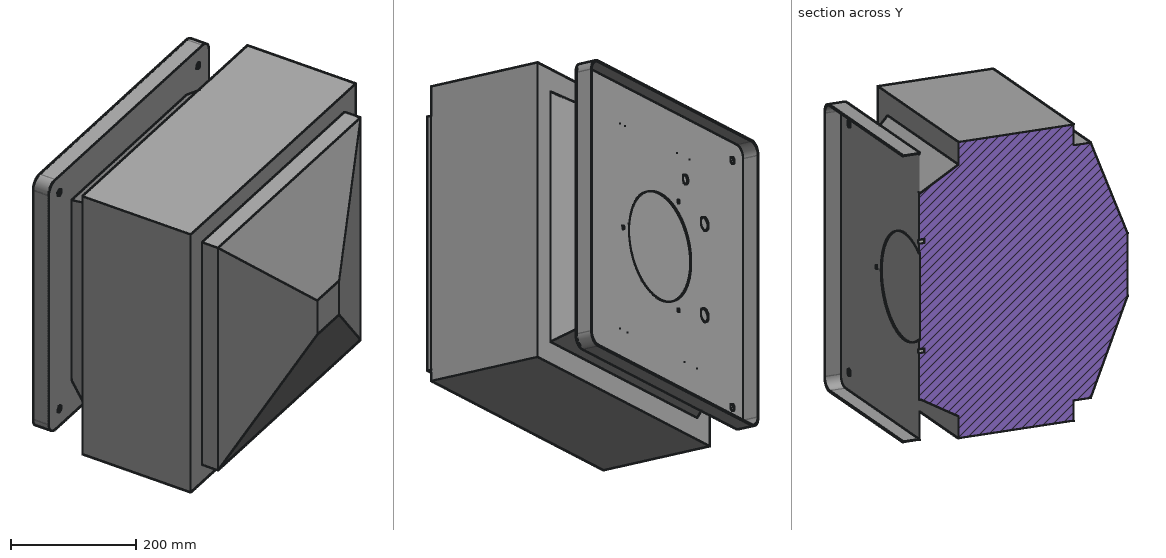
import cadquery as cq
import math

box_width = 500.0
box_height = 501.0
box_rise = 0.5
box_start = 97.5
box_length = 204.0

tray_size = 485.0
tray_depth = 30.0
tray_corner_radius = 20.0
sheet = 2.0

neck_small = 348.5
neck_large = 426.0

hood_size = 432.0
collar_length = 30.0
cap_length = 73.0
cap_end_size = 66.0

duct_diameter = 180.5
fixing_diameter = 6.0
fixing_depth = 10.0
fixing_circle_radius = 106.5
fixing_count = 3
cable_diameter = 22.5
cable_offset_y = 129.5
cable_offset_z = 77.5
sensor_diameter = 16.0
sensor_y = -73.5
sensor_z = 136.5
mount_diameter = 11.5
mount_offset = 210.0

floor_x = tray_depth - sheet
box_end = box_start + box_length
collar_end = box_end + collar_length


def plane_at(x):
    """Workplane across the part: local x is +Y, local y is +Z, normal is +X."""
    return cq.Workplane("YZ", origin=(x, 0, 0))


def taper(x, start_size, end_size, length):
    """Square frustum along +X."""
    return (
        plane_at(x)
        .rect(start_size, start_size)
        .workplane(offset=length)
        .rect(end_size, end_size)
        .loft(ruled=True)
    )


def make_tray():
    outer = plane_at(0).rect(tray_size, tray_size).extrude(tray_depth)
    outer = outer.edges("|X").fillet(tray_corner_radius)
    inner_size = tray_size - 2 * sheet
    inner = plane_at(0).rect(inner_size, inner_size).extrude(floor_x)
    inner = inner.edges("|X").fillet(tray_corner_radius - sheet)
    return outer.cut(inner)


def floor_holes(points, diameter, depth=sheet):
    """Round cutters from the tray floor towards +X, at the given (y, z) points."""
    return plane_at(floor_x).pushPoints(points).circle(diameter / 2).extrude(depth)


def make_openings():
    fixing_points = []
    for index in range(fixing_count):
        angle = 2 * math.pi * index / fixing_count
        fixing_points.append(
            (fixing_circle_radius * math.cos(angle), fixing_circle_radius * math.sin(angle))
        )
    mount_sides = (-mount_offset, mount_offset)
    mount_points = [(y, z) for y in mount_sides for z in mount_sides]
    cable_points = [(-cable_offset_y, z) for z in (-cable_offset_z, cable_offset_z)]
    return (
        floor_holes([(0, 0)], duct_diameter)
        .union(floor_holes(fixing_points, fixing_diameter, fixing_depth))
        .union(floor_holes(mount_points, mount_diameter))
        .union(floor_holes(cable_points, cable_diameter))
        .union(floor_holes([(sensor_y, sensor_z)], sensor_diameter))
    )


tray = make_tray()
neck = taper(tray_depth, neck_small, neck_large, box_start - tray_depth)
housing = plane_at(box_start).center(0, box_rise).rect(box_width, box_height).extrude(box_length)
collar = plane_at(box_end).rect(hood_size, hood_size).extrude(collar_length)
cap = taper(collar_end, hood_size, cap_end_size, cap_length)

body = tray.union(neck).union(housing).union(collar).union(cap)
result = body.cut(make_openings())